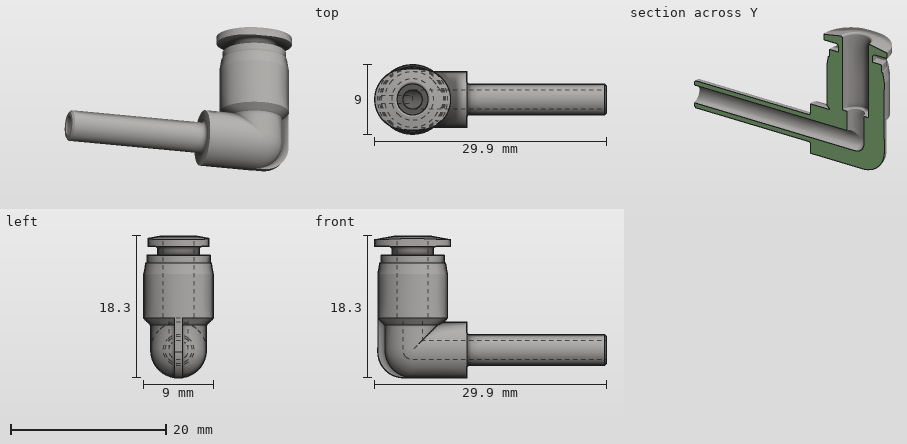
import cadquery as cq
import math

ELBOW_DIAMETER = 7.2
ELBOW_RADIUS = ELBOW_DIAMETER / 2
ARM_Z = ELBOW_RADIUS
ARM_LENGTH = 7.0

BODY_DIAMETER = 9.0
BODY_RADIUS = BODY_DIAMETER / 2
BODY_BOTTOM_Z = 7.7
BODY_TOP_Z = 13.35
TAPER_TOP_Z = 14.8
TAPER_TOP_RADIUS = 4.25
COLLAR_DIAMETER = 8.2
COLLAR_TOP_Z = 15.88
COLLAR_CHAMFER = 0.1
UNDERCUT = BODY_RADIUS - ELBOW_RADIUS

HEIGHT = 18.3
BUTTON_LENGTH = 9.8
BUTTON_WIDTH = 7.85
BUTTON_BOTTOM_Z = 16.95
BUTTON_CONE_DIAMETER = 9.44
BUTTON_SLOPE = math.radians(10.5)
NECK_DIAMETER = 5.37
NECK_FILLET = 0.35

SOCKET_BORE_DIAMETER = 4.0
SOCKET_BORE_FLOOR_Z = BODY_BOTTOM_Z
BORE_MOUTH_DIAMETER = 4.56
FLOW_DIAMETER = 2.5

STEM_DIAMETER = 3.97
STEM_RADIUS = STEM_DIAMETER / 2
STEM_END_X = 25.0
STEM_CHAMFER = 0.25
STEM_ROOT_FILLET = 0.3

RIB_THICKNESS = 1.0
RIB_CORNER_RADIUS = 3.35


def upright_cylinder(diameter, bottom_z, top_z):
    return cq.Workplane("XY", origin=(0, 0, bottom_z)).circle(diameter / 2).extrude(top_z - bottom_z)


def cylinder_along_x(diameter, start_x, end_x):
    return cq.Workplane("YZ", origin=(start_x, 0, ARM_Z)).circle(diameter / 2).extrude(end_x - start_x)


def elbow_shape(diameter, top_z, end_x):
    """Two equal cylinders meeting at a right angle, with a ball at the corner."""
    ball = cq.Workplane("XY", origin=(0, 0, ARM_Z)).sphere(diameter / 2)
    upright = upright_cylinder(diameter, ARM_Z, top_z)
    return upright.union(cylinder_along_x(diameter, 0, end_x)).union(ball)


def socket_body():
    """Turned profile (radius, z) about the Z axis."""
    profile = [
        (0, BODY_BOTTOM_Z - UNDERCUT),
        (ELBOW_RADIUS, BODY_BOTTOM_Z - UNDERCUT),
        (BODY_RADIUS, BODY_BOTTOM_Z),
        (BODY_RADIUS, BODY_TOP_Z),
        (TAPER_TOP_RADIUS, TAPER_TOP_Z),
        (COLLAR_DIAMETER / 2, TAPER_TOP_Z),
        (COLLAR_DIAMETER / 2, COLLAR_TOP_Z - COLLAR_CHAMFER),
        (COLLAR_DIAMETER / 2 - COLLAR_CHAMFER, COLLAR_TOP_Z),
        (0, COLLAR_TOP_Z),
    ]
    return cq.Workplane("XZ").polyline(profile).close().revolve(360, (0, 0, 0), (0, 1, 0))


def release_button():
    """Neck and oblong flange; the flange top is a shallow cone ending in a narrow flat rim."""
    mouth_radius = BORE_MOUTH_DIAMETER / 2
    rim_radius = BUTTON_LENGTH / 2
    cone_radius = BUTTON_CONE_DIAMETER / 2
    rim_z = HEIGHT - (cone_radius - mouth_radius) * math.tan(BUTTON_SLOPE)
    neck_radius = NECK_DIAMETER / 2
    turned = (
        cq.Workplane("XZ")
        .moveTo(0, COLLAR_TOP_Z)
        .lineTo(neck_radius, COLLAR_TOP_Z)
        .lineTo(neck_radius, BUTTON_BOTTOM_Z - NECK_FILLET)
        .radiusArc((neck_radius + NECK_FILLET, BUTTON_BOTTOM_Z), NECK_FILLET)
        .lineTo(rim_radius, BUTTON_BOTTOM_Z)
        .lineTo(rim_radius, rim_z)
        .lineTo(cone_radius, rim_z)
        .lineTo(mouth_radius, HEIGHT)
        .lineTo(0, HEIGHT)
        .close()
        .revolve(360, (0, 0, 0), (0, 1, 0))
    )
    oblong = (
        cq.Workplane("XY", origin=(0, 0, COLLAR_TOP_Z))
        .slot2D(BUTTON_LENGTH, BUTTON_WIDTH)
        .extrude(HEIGHT - COLLAR_TOP_Z)
    )
    return turned.intersect(oblong)


def stem():
    """Tube with a chamfered tip and a small flare where it leaves the elbow."""
    tube = cylinder_along_x(STEM_DIAMETER, ARM_LENGTH, STEM_END_X)
    tube = tube.faces(">X").edges().chamfer(STEM_CHAMFER)
    flare_top = STEM_RADIUS + STEM_ROOT_FILLET
    flare = (
        cq.Workplane("XY", origin=(ARM_LENGTH, 0, ARM_Z))
        .lineTo(0, flare_top)
        .radiusArc((STEM_ROOT_FILLET, STEM_RADIUS), -STEM_ROOT_FILLET)
        .lineTo(STEM_ROOT_FILLET, 0)
        .close()
        .revolve(360, (0, 0, 0), (1, 0, 0))
    )
    return tube.union(flare)


def rib():
    """Web round the outer corner of the elbow, its back flush with the socket body."""
    corner_offset = RIB_CORNER_RADIUS * (1 - math.sqrt(0.5))
    corner = (
        cq.Workplane("XZ", origin=(0, RIB_THICKNESS / 2, 0))
        .moveTo(0, 0)
        .lineTo(RIB_CORNER_RADIUS - BODY_RADIUS, 0)
        .threePointArc(
            (corner_offset - BODY_RADIUS, corner_offset),
            (-BODY_RADIUS, RIB_CORNER_RADIUS),
        )
        .lineTo(0, RIB_CORNER_RADIUS)
        .close()
        .extrude(RIB_THICKNESS)
    )
    upright_height = BODY_BOTTOM_Z - RIB_CORNER_RADIUS
    upright = (
        cq.Workplane("XY", origin=(-BODY_RADIUS / 2, 0, RIB_CORNER_RADIUS))
        .rect(BODY_RADIUS, RIB_THICKNESS)
        .extrude(upright_height)
        .intersect(upright_cylinder(BODY_DIAMETER, RIB_CORNER_RADIUS, BODY_BOTTOM_Z))
    )
    return corner.union(upright)


def socket_bore():
    """Blind bore for the tube, with a rounded lead-in at the mouth."""
    bore_radius = SOCKET_BORE_DIAMETER / 2
    mouth_radius = BORE_MOUTH_DIAMETER / 2
    mouth_fillet = mouth_radius - bore_radius
    return (
        cq.Workplane("XZ")
        .moveTo(0, SOCKET_BORE_FLOOR_Z)
        .lineTo(bore_radius, SOCKET_BORE_FLOOR_Z)
        .lineTo(bore_radius, HEIGHT - mouth_fillet)
        .radiusArc((mouth_radius, HEIGHT), mouth_fillet)
        .lineTo(0, HEIGHT)
        .close()
        .revolve(360, (0, 0, 0), (0, 1, 0))
    )


outside = (
    elbow_shape(ELBOW_DIAMETER, BODY_BOTTOM_Z, ARM_LENGTH)
    .union(rib())
    .union(socket_body())
    .union(release_button())
    .union(stem())
)
result = outside.cut(socket_bore()).cut(elbow_shape(FLOW_DIAMETER, SOCKET_BORE_FLOOR_Z, STEM_END_X))